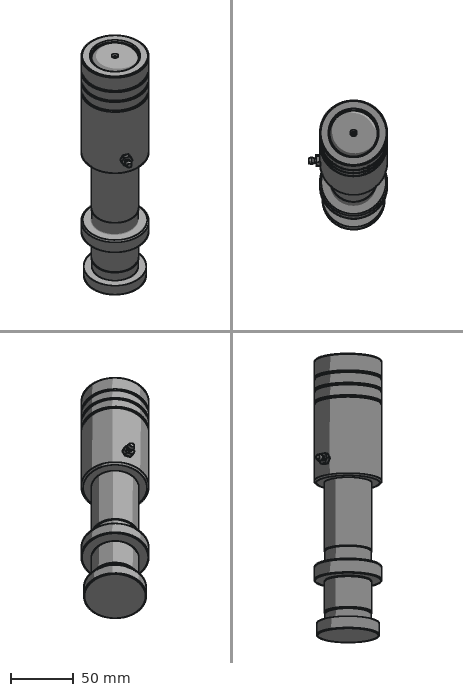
import cadquery as cq
import math

total_height = 225.0
pillar_diameter = 38.0
pillar_relief_diameter = 37.1
pillar_bottom_chamfer_height = 1.1
pillar_bottom_chamfer_width = 1.1
pillar_top_fillet = 4.0

collar_diameter = 54.0
collar_bottom = 45.0
collar_top = 57.2
collar_top_chamfer = 1.4
collar_bottom_chamfer = 0.7
undercut_width = 1.1
undercut_depth = 1.0
collar_root_fillet = 1.0
relief_top = 69.5
relief_taper_height = 0.7

center_hole_diameter = 2.7
center_hole_depth = 6.8
countersink_diameter = 5.5
countersink_angle = 90

cap_diameter = 50.0
cap_flange_height = 10.0
cap_neck_diameter = 37.1
cap_height = 18.0
cap_bottom_chamfer = 0.7

bushing_diameter = 54.0
bushing_length = 100.0
bushing_top_chamfer = 1.0
bushing_bottom_chamfer = 1.5
bushing_bore_chamfer = 1.1
groove_count = 3
groove_pitch = 10.1
groove_first_depth_from_top = 14.8
groove_depth = 1.0

nipple_angle = -15.0
nipple_height = 140.0
nipple_across_flats = 8.0
nipple_sides = 6
nipple_seat_radius = 26.3
nipple_hex_end = 30.0
nipple_neck_end = 31.3
nipple_head_widest = 33.3
nipple_tip = 35.8
nipple_neck_radius = 2.0
nipple_head_radius = 3.0
nipple_tip_radius = 2.0

pillar_radius = pillar_diameter / 2
relief_radius = pillar_relief_diameter / 2
collar_radius = collar_diameter / 2
cap_radius = cap_diameter / 2
bushing_radius = bushing_diameter / 2
bushing_bottom = total_height - bushing_length


def revolve_profile(points):
    """Solid of revolution about Z from (radius, height) points."""
    return cq.Workplane("XZ").polyline(points).close().revolve(360, (0, 0), (0, 1))


def make_collar_root_fillet():
    """Ring with a concave quarter-round section in the corner above the collar."""
    fillet_center = (relief_radius + collar_root_fillet, collar_top + collar_root_fillet)
    diagonal_reach = collar_root_fillet * math.cos(math.radians(45))
    return (
        cq.Workplane("XZ")
        .moveTo(relief_radius, collar_top)
        .lineTo(fillet_center[0], collar_top)
        .threePointArc(
            (fillet_center[0] - diagonal_reach, fillet_center[1] - diagonal_reach),
            (relief_radius, fillet_center[1]),
        )
        .close().revolve(360, (0, 0), (0, 1))
    )


def make_pillar():
    undercut_radius = pillar_radius - undercut_depth
    body = revolve_profile([
        (0, cap_height),
        (pillar_radius - pillar_bottom_chamfer_width, cap_height),
        (pillar_radius, cap_height + pillar_bottom_chamfer_height),
        (pillar_radius, collar_bottom - undercut_width),
        (undercut_radius, collar_bottom - undercut_width + undercut_depth),
        (undercut_radius, collar_bottom),
        (collar_radius - collar_bottom_chamfer, collar_bottom),
        (collar_radius, collar_bottom + collar_bottom_chamfer),
        (collar_radius, collar_top - collar_top_chamfer),
        (collar_radius - collar_top_chamfer, collar_top),
        (relief_radius, collar_top),
        (relief_radius, relief_top - relief_taper_height),
        (pillar_radius, relief_top),
        (pillar_radius, total_height),
        (0, total_height),
    ])
    body = body.faces(">Z").edges().fillet(pillar_top_fillet)
    body = body.union(make_collar_root_fillet())
    return body.faces(">Z").workplane().cskHole(
        center_hole_diameter, countersink_diameter, countersink_angle, center_hole_depth
    )


def make_cap():
    flange = cq.Workplane("XY").circle(cap_radius).extrude(cap_flange_height)
    flange = flange.faces("<Z").chamfer(cap_bottom_chamfer)
    neck = cq.Workplane("XY").circle(cap_neck_diameter / 2).extrude(cap_height)
    return flange.union(neck)


def make_groove_cutter(center_height):
    """Ring with a 90 degree V section that opens at the outside of the bushing."""
    return revolve_profile([
        (bushing_radius - groove_depth, center_height),
        (bushing_radius, center_height - groove_depth),
        (bushing_radius, center_height + groove_depth),
    ])


def make_bushing(nipple):
    body = (
        cq.Workplane("XY").workplane(offset=bushing_bottom)
        .circle(bushing_radius).extrude(bushing_length)
    )
    body = body.faces(">Z").chamfer(bushing_top_chamfer)
    body = body.faces("<Z").chamfer(bushing_bottom_chamfer)
    bore = revolve_profile([
        (0, bushing_bottom),
        (pillar_radius, bushing_bottom),
        (pillar_radius, total_height - bushing_bore_chamfer),
        (pillar_radius + bushing_bore_chamfer, total_height),
        (0, total_height),
    ])
    body = body.cut(bore)
    for index in range(groove_count):
        depth_from_top = groove_first_depth_from_top + index * groove_pitch
        body = body.cut(make_groove_cutter(total_height - depth_from_top))
    return body.cut(nipple)


def make_nipple():
    """Hexagon, neck and double-cone head, built along Z and then turned outward."""
    half_flat_angle = math.radians(180 / nipple_sides)
    across_corners = nipple_across_flats / math.cos(half_flat_angle)
    hexagon = (
        cq.Workplane("XY").workplane(offset=nipple_seat_radius)
        .transformed(rotate=(0, 0, 90))
        .polygon(nipple_sides, across_corners).extrude(nipple_hex_end - nipple_seat_radius)
    )
    head = revolve_profile([
        (0, nipple_hex_end),
        (nipple_neck_radius, nipple_hex_end),
        (nipple_neck_radius, nipple_neck_end),
        (nipple_head_radius, nipple_head_widest),
        (nipple_tip_radius, nipple_tip),
        (0, nipple_tip),
    ])
    outward = hexagon.union(head).rotate((0, 0, 0), (0, 1, 0), 90)
    return outward.rotate((0, 0, 0), (0, 0, 1), nipple_angle).translate((0, 0, nipple_height))


pillar = make_pillar()
cap = make_cap()
nipple = make_nipple()
bushing = make_bushing(nipple)

result = cq.Compound.makeCompound([pillar.val(), cap.val(), bushing.val(), nipple.val()])